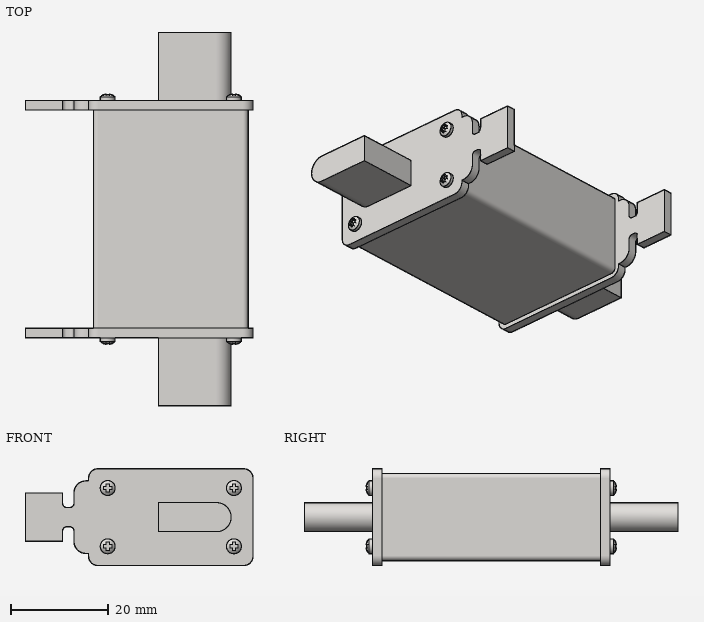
import cadquery as cq
import math


TOTAL_LENGTH = 77.0
BLADE_REACH = 14.0
PLATE_THICKNESS = 2.0
PLATE_FACE_Y = TOTAL_LENGTH / 2 - BLADE_REACH
BARREL_LENGTH = 2 * (PLATE_FACE_Y - PLATE_THICKNESS)

PLATE_WIDTH = 33.95
PLATE_HEIGHT = 20.0
PLATE_CORNER_RADIUS = 2.0

BARREL_INSET = 1.0
BARREL_WIDTH = PLATE_WIDTH - 2 * BARREL_INSET
BARREL_HEIGHT = PLATE_HEIGHT - 2 * BARREL_INSET
BARREL_CORNER_RADIUS = PLATE_CORNER_RADIUS - BARREL_INSET

LUG_REACH = 13.0
LUG_TAB_LENGTH = 7.7
LUG_TAB_HEIGHT = 10.0
NOTCH_WIDTH = 2.3
NOTCH_CORNER_RADIUS = 0.85
NECK_HEIGHT = 4.0
SHOULDER_HEIGHT = 15.0

BLADE_WIDTH = 15.0
BLADE_HEIGHT = 6.0
BLADE_EDGE_MARGIN = 4.55

SCREW_SPACING_X = 26.0
SCREW_SPACING_Z = 12.0
HEAD_RADIUS = 1.55
HEAD_RIM_HEIGHT = 0.7
HEAD_HEIGHT = 1.4
RECESS_LENGTH = 1.7
RECESS_WIDTH = 0.7
RECESS_DEPTH = 0.7


def make_barrel():
    return (
        cq.Workplane("XY")
        .box(BARREL_WIDTH, BARREL_LENGTH, BARREL_HEIGHT)
        .edges("|Y")
        .fillet(BARREL_CORNER_RADIUS)
    )


def make_lug_half_outline(plate_left):
    """Upper half of the lug, closed along Z = 0 and running under the plate."""
    tab_left = plate_left - LUG_REACH
    tab_right = tab_left + LUG_TAB_LENGTH
    shoulder_left = tab_right + NOTCH_WIDTH
    tab_top = LUG_TAB_HEIGHT / 2
    shoulder_top = SHOULDER_HEIGHT / 2
    neck_top = NECK_HEIGHT / 2
    notch_arc_start = neck_top + NOTCH_CORNER_RADIUS
    shoulder_radius = shoulder_top - tab_top
    return (
        cq.Workplane("XZ")
        .moveTo(tab_left, 0)
        .lineTo(tab_left, tab_top)
        .lineTo(tab_right, tab_top)
        .lineTo(tab_right, notch_arc_start)
        .radiusArc((tab_right + NOTCH_CORNER_RADIUS, neck_top), -NOTCH_CORNER_RADIUS)
        .lineTo(shoulder_left - NOTCH_CORNER_RADIUS, neck_top)
        .radiusArc((shoulder_left, notch_arc_start), -NOTCH_CORNER_RADIUS)
        .lineTo(shoulder_left, tab_top)
        .radiusArc((shoulder_left + shoulder_radius, shoulder_top), shoulder_radius)
        .lineTo(plate_left + PLATE_CORNER_RADIUS, shoulder_top)
        .lineTo(plate_left + PLATE_CORNER_RADIUS, 0)
        .close()
    )


def make_plate():
    """End plate with its lug, between Y = -PLATE_THICKNESS / 2 and +PLATE_THICKNESS / 2."""
    panel = (
        cq.Workplane("XY")
        .box(PLATE_WIDTH, PLATE_THICKNESS, PLATE_HEIGHT)
        .edges("|Y")
        .fillet(PLATE_CORNER_RADIUS)
    )
    half_lug = make_lug_half_outline(-PLATE_WIDTH / 2).extrude(PLATE_THICKNESS / 2, both=True)
    return panel.union(half_lug).union(half_lug.mirror("XY")).clean()


def make_blade():
    """Contact blade with a full round +X edge, from Y = -BLADE_REACH to Y = 0."""
    right = PLATE_WIDTH / 2 - BLADE_EDGE_MARGIN
    left = right - BLADE_WIDTH
    half_height = BLADE_HEIGHT / 2
    round_start = right - half_height
    return (
        cq.Workplane("XZ")
        .moveTo(left, -half_height)
        .lineTo(round_start, -half_height)
        .threePointArc((right, 0), (round_start, half_height))
        .lineTo(left, half_height)
        .close()
        .extrude(BLADE_REACH)
    )


def make_fuse_body():
    """Barrel, both end plates and both blades as one solid."""
    plate = make_plate().translate((0, PLATE_THICKNESS / 2 - PLATE_FACE_Y, 0))
    blade = make_blade().translate((0, -PLATE_FACE_Y, 0))
    contact_end = plate.union(blade)
    return make_barrel().union(contact_end).union(contact_end.mirror("XZ"))


def make_screw_head():
    """Domed head seated on Y = 0 and facing -Y, with a cross recess."""
    dome_height = HEAD_HEIGHT - HEAD_RIM_HEIGHT
    dome_radius = (HEAD_RADIUS**2 + dome_height**2) / (2 * dome_height)
    mid_radius = HEAD_RADIUS / 2
    mid_height = HEAD_HEIGHT - dome_radius + math.sqrt(dome_radius**2 - mid_radius**2)
    head = (
        cq.Workplane("XY")
        .lineTo(HEAD_RADIUS, 0)
        .lineTo(HEAD_RADIUS, -HEAD_RIM_HEIGHT)
        .threePointArc((mid_radius, -mid_height), (0, -HEAD_HEIGHT))
        .close()
        .revolve(360, (0, 0, 0), (0, 1, 0))
    )
    recess_floor = cq.Workplane("XZ", origin=(0, RECESS_DEPTH - HEAD_HEIGHT, 0))
    for arm_x, arm_z in ((RECESS_LENGTH, RECESS_WIDTH), (RECESS_WIDTH, RECESS_LENGTH)):
        head = head.cut(recess_floor.rect(arm_x, arm_z).extrude(RECESS_DEPTH))
    return head


def make_screws():
    """Four screw heads on the outer face of each end plate."""
    front_head = make_screw_head().translate((0, -PLATE_FACE_Y, 0))
    screws = []
    for head in (front_head, front_head.mirror("XZ")):
        for side_x in (-1, 1):
            for side_z in (-1, 1):
                seat = (side_x * SCREW_SPACING_X / 2, 0, side_z * SCREW_SPACING_Z / 2)
                screws.append(head.translate(seat).solids().val())
    return screws


fuse_body = make_fuse_body().solids()
screws = make_screws()

result = cq.Compound.makeCompound([fuse_body.val(), *screws])